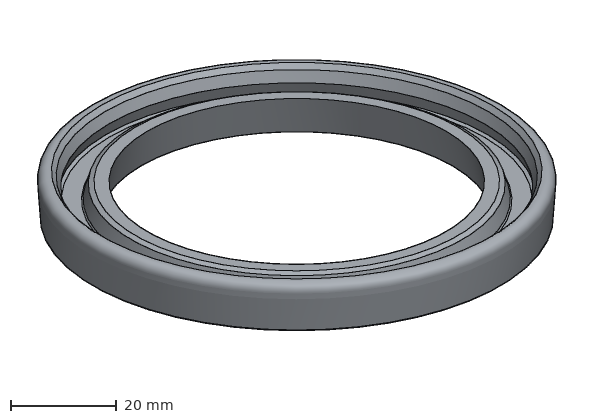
import cadquery as cq
import math

outer_radius = 49.0
bore_top_radius = 35.5
height = 10.0

rim_round = 1.9
band_bottom = 7.0
base_radius = 48.5
base_chamfer = 0.3

rim_flat_inner = 46.4
rim_bevel_radius = 45.5
rim_bevel_bottom = 8.9
lip_radius = 44.6
lip_height = 6.6
undercut_radius = 45.3
floor_height = 3.8
flare_height = 0.3
flare_top = floor_height + flare_height
floor_outer = 44.5

collar_height = 7.7
collar_top_radius = 38.3
collar_bevel_radius = 39.4
collar_bevel_bottom = 7.3
collar_foot_radius = 40.4
floor_inner = collar_foot_radius + flare_height

bore_bottom_radius = 36.9

round_center_radius = outer_radius - rim_round
round_center_height = height - rim_round
arc_reach = rim_round * math.sqrt(0.5)
arc_middle = (round_center_radius + arc_reach, round_center_height + arc_reach)

section = (
    cq.Workplane("XZ")
    .moveTo(bore_bottom_radius, 0)
    .lineTo(base_radius - base_chamfer, 0)
    .lineTo(base_radius, base_chamfer)
    .lineTo(outer_radius, band_bottom)
    .lineTo(outer_radius, round_center_height)
    .threePointArc(arc_middle, (round_center_radius, height))
    .lineTo(rim_flat_inner, height)
    .lineTo(rim_bevel_radius, rim_bevel_bottom)
    .lineTo(lip_radius, lip_height)
    .lineTo(undercut_radius, flare_top)
    .lineTo(floor_outer, floor_height)
    .lineTo(floor_inner, floor_height)
    .lineTo(collar_foot_radius, flare_top)
    .lineTo(collar_bevel_radius, collar_bevel_bottom)
    .lineTo(collar_top_radius, collar_height)
    .lineTo(bore_top_radius, collar_height)
    .close()
)

result = section.revolve(360, (0, 0, 0), (0, 1, 0))